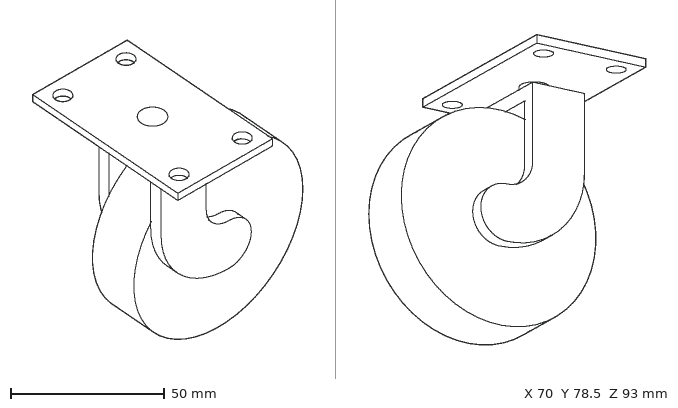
import cadquery as cq
import math


wheel_diameter = 75.0
wheel_width = 20.0
caster_trail = 20.0

fork_wall = 5.0
fork_depth = 20.0
wheel_clearance = 5.0
fork_width = wheel_width + 2 * fork_wall
crown_underside = wheel_diameter / 2 + wheel_clearance
fork_top = crown_underside + fork_wall

pin_diameter = 10.0
neck_height = 5.0

plate_length = 70.0
plate_width = 42.0
plate_thickness = 3.0
bolt_hole_diameter = 6.5
bolt_hole_inset = 7.0
plate_bottom = fork_top + neck_height
plate_top = plate_bottom + plate_thickness


def make_wheel():
    """Solid disc turning about an X axis behind the swivel axis."""
    return (
        cq.Workplane("YZ", origin=(-wheel_width / 2, caster_trail, 0))
        .circle(wheel_diameter / 2)
        .extrude(wheel_width)
    )


def make_fork():
    """Fork whose legs drop straight, then sweep back to a round end at the wheel axis."""
    front = -fork_depth / 2
    back = fork_depth / 2
    end_radius = fork_depth / 2
    inner_radius = caster_trail - back
    outer_radius = caster_trail - front
    bend_height = end_radius + inner_radius
    diagonal = math.sqrt(0.5)

    def bend_midpoint(radius):
        return (caster_trail - radius * diagonal, bend_height - radius * diagonal)

    body = (
        cq.Workplane("YZ", origin=(-fork_width / 2, 0, 0))
        .moveTo(front, fork_top)
        .lineTo(front, bend_height)
        .threePointArc(bend_midpoint(outer_radius), (caster_trail, -end_radius))
        .threePointArc((caster_trail + end_radius, 0), (caster_trail, end_radius))
        .threePointArc(bend_midpoint(inner_radius), (back, bend_height))
        .lineTo(back, fork_top)
        .close()
        .extrude(fork_width)
    )
    slot = (
        cq.Workplane("XY", origin=(0, 0, -end_radius))
        .rect(wheel_width, 2 * (caster_trail + fork_depth))
        .extrude(crown_underside + end_radius)
    )
    return body.cut(slot)


def make_swivel_pin():
    """Pin standing on the fork crown and ending flush with the plate top."""
    return (
        cq.Workplane("XY", origin=(0, 0, fork_top))
        .circle(pin_diameter / 2)
        .extrude(plate_top - fork_top)
    )


def make_plate():
    """Mounting plate with four corner bolt holes and a central hole for the pin."""
    plate = (
        cq.Workplane("XY", origin=(0, 0, plate_bottom))
        .rect(plate_length, plate_width)
        .circle(pin_diameter / 2)
        .extrude(plate_thickness)
    )
    bolt_holes = (
        cq.Workplane("XY", origin=(0, 0, plate_bottom))
        .rect(
            plate_length - 2 * bolt_hole_inset,
            plate_width - 2 * bolt_hole_inset,
            forConstruction=True,
        )
        .vertices()
        .circle(bolt_hole_diameter / 2)
        .extrude(plate_thickness)
    )
    return plate.cut(bolt_holes)


wheel = make_wheel()
fork = make_fork()
swivel_pin = make_swivel_pin()
plate = make_plate()

result = cq.Compound.makeCompound(
    [
        wheel.solids().val(),
        fork.solids().val(),
        swivel_pin.solids().val(),
        plate.solids().val(),
    ]
)